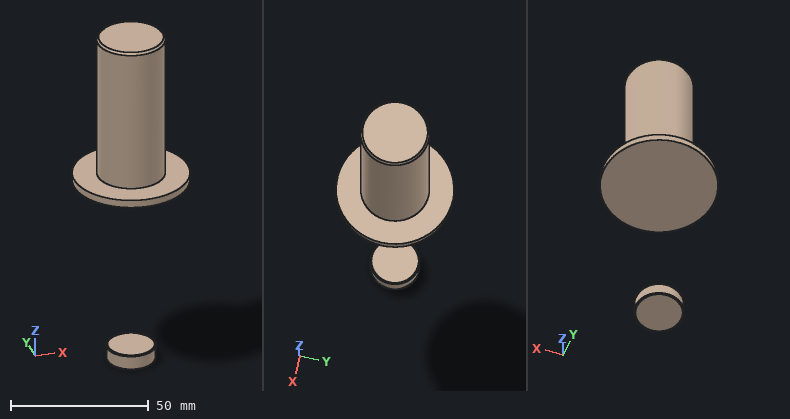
import cadquery as cq

total_height = 133.0

pin_diameter = 25.0
pin_chamfer_height = 1.0
pin_chamfer_inset = 0.7
flange_diameter = 43.0
flange_thickness = 3.0
flanged_pin_height = 59.0

disc_diameter = 18.0
disc_height = 6.0
disc_chamfer = 0.4

flange_bottom = total_height - flanged_pin_height


def revolve_about_z(half_profile):
    """Solid of revolution from (radius, height) points."""
    return cq.Workplane("XZ").polyline(half_profile).close().revolve(360, (0, 0), (0, 1))


def make_flanged_pin():
    """Round pin with a steep chamfer at its top end, standing on a thin flange."""
    pin_radius = pin_diameter / 2
    flange_radius = flange_diameter / 2
    flange_top = flange_bottom + flange_thickness
    half_profile = [
        (0, flange_bottom),
        (flange_radius, flange_bottom),
        (flange_radius, flange_top),
        (pin_radius, flange_top),
        (pin_radius, total_height - pin_chamfer_height),
        (pin_radius - pin_chamfer_inset, total_height),
        (0, total_height),
    ]
    return revolve_about_z(half_profile)


def make_disc():
    """Short disc with an equal-leg chamfer around both rims."""
    disc_radius = disc_diameter / 2
    face_radius = disc_radius - disc_chamfer
    half_profile = [
        (0, 0),
        (face_radius, 0),
        (disc_radius, disc_chamfer),
        (disc_radius, disc_height - disc_chamfer),
        (face_radius, disc_height),
        (0, disc_height),
    ]
    return revolve_about_z(half_profile)


flanged_pin = make_flanged_pin()
disc = make_disc()

result = cq.Compound.makeCompound([flanged_pin.val(), disc.val()])